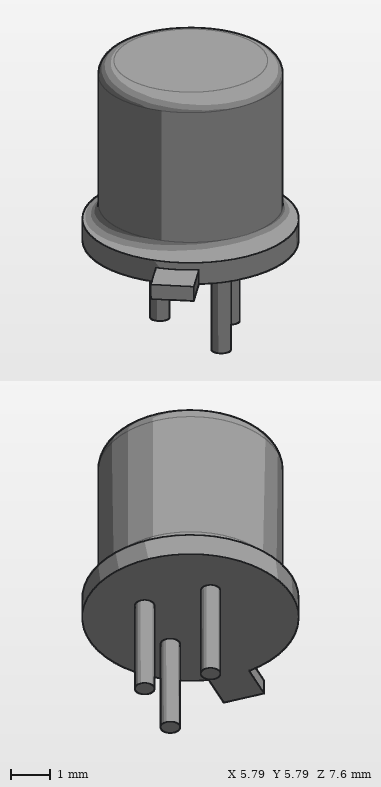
import cadquery as cq
import math

total_height = 7.6
lead_length = 2.6
flange_thickness = 0.6
flange_top = lead_length + flange_thickness

flange_radius = 2.75
can_radius = 2.35
top_round = 0.395
base_flare = 0.395

lead_diameter = 0.5
lead_circle_radius = 1.27
lead_angles = (0, 90, 180)

tab_width = 1.1
tab_reach = 3.75
tab_thickness = 0.4
tab_angle = -45


def make_can():
    """Revolve the flange, the flared base and the round-topped can."""
    diagonal = math.sqrt(0.5)
    flare_center_r = can_radius + base_flare
    flare_center_z = flange_top + base_flare
    round_center_r = can_radius - top_round
    round_center_z = total_height - top_round
    flare_middle = (
        flare_center_r - base_flare * diagonal,
        flare_center_z - base_flare * diagonal,
    )
    round_middle = (
        round_center_r + top_round * diagonal,
        round_center_z + top_round * diagonal,
    )
    return (
        cq.Workplane("XZ")
        .moveTo(0, lead_length)
        .lineTo(flange_radius, lead_length)
        .lineTo(flange_radius, flange_top)
        .lineTo(flare_center_r, flange_top)
        .threePointArc(flare_middle, (can_radius, flare_center_z))
        .lineTo(can_radius, round_center_z)
        .threePointArc(round_middle, (round_center_r, total_height))
        .lineTo(0, total_height)
        .close()
        .revolve(360, (0, 0, 0), (0, 1, 0))
    )


def make_tab():
    """Flat bar from the axis outward, level with the flange underside."""
    return (
        cq.Workplane("XY", origin=(0, 0, lead_length))
        .rect(tab_reach, tab_width)
        .extrude(tab_thickness)
        .translate((tab_reach / 2, 0, 0))
        .rotate((0, 0, 0), (0, 0, 1), tab_angle)
    )


def make_lead(angle):
    """Round lead ending inside the flange so that it joins firmly."""
    x = lead_circle_radius * math.cos(math.radians(angle))
    y = lead_circle_radius * math.sin(math.radians(angle))
    return (
        cq.Workplane("XY")
        .center(x, y)
        .circle(lead_diameter / 2)
        .extrude(lead_length + flange_thickness / 2)
    )


result = make_can().union(make_tab())
for lead_angle in lead_angles:
    result = result.union(make_lead(lead_angle))